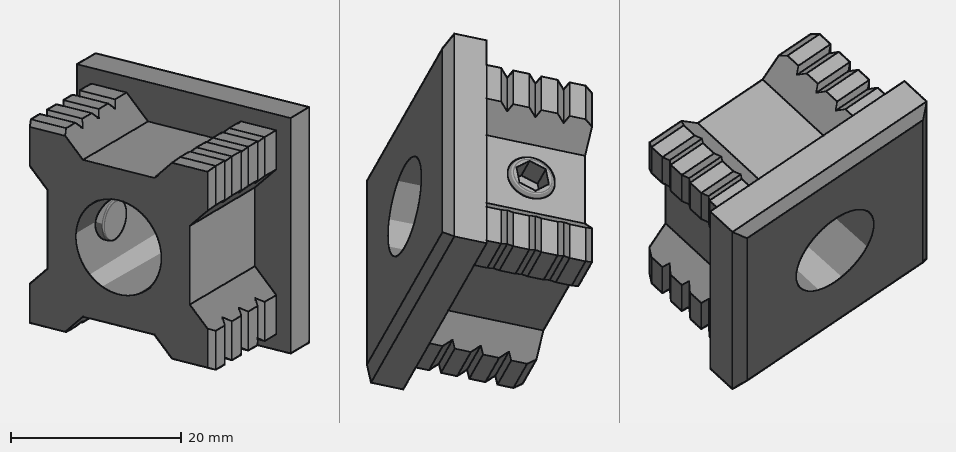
import cadquery as cq


flange_size = 30.0
flange_thickness = 5.0
flange_bevel_run = 1.0
flange_bevel_inset = 1.4

overall_depth = 19.0
core_length = overall_depth - flange_thickness
arm_reach = 13.0
arm_edge = 8.0
wall_reach = 10.0
wall_half_width = arm_edge - (arm_reach - wall_reach)
bore_radius = 6.0
tip_chamfer_run = 1.0
tip_chamfer_inset = 0.5

groove_count = 3
groove_start = 2.5
groove_pitch = 3.5
groove_width = 1.5
groove_apex_run = 1.0
groove_depth = 0.7

screw_y = -7.25
head_radius = 2.95
head_height = 0.55
shank_radius = 2.55
shank_tip_reach = 4.9
shank_tip_round = 0.18
socket_across_flats = 3.72
socket_depth = 3.0
socket_turn = -10.0


def square_body(half_profile):
    """Body of square section whose half width follows (half width, y) points in both X and Z."""
    mirrored = [(-half_width, y) for half_width, y in reversed(half_profile)]
    outline = half_profile + mirrored
    along_z = cq.Workplane("XY").polyline(outline).close().extrude(flange_size, both=True)
    along_x = along_z.rotate((0, 0, 0), (0, 1, 0), 90)
    return along_z.intersect(along_x)


def make_flange():
    half = flange_size / 2
    return square_body([
        (half, 0),
        (half, flange_thickness - flange_bevel_run),
        (half - flange_bevel_inset, flange_thickness),
    ])


def make_grooved_envelope():
    profile = [(arm_reach, 0)]
    for index in range(groove_count):
        start = groove_start + index * groove_pitch
        profile += [
            (arm_reach, -start),
            (arm_reach - groove_depth, -(start + groove_apex_run)),
            (arm_reach, -(start + groove_width)),
        ]
    profile += [
        (arm_reach, -(core_length - tip_chamfer_run)),
        (arm_reach - tip_chamfer_inset, -core_length),
    ]
    return square_body(profile)


def make_cross_prism():
    """Four corner arms joined by recessed flats, running the length of the core."""
    quarter = [
        (wall_reach, wall_half_width),
        (arm_reach, arm_edge),
        (arm_reach, arm_reach),
        (arm_edge, arm_reach),
        (wall_half_width, wall_reach),
    ]
    outline = []
    for _ in range(4):
        outline += quarter
        quarter = [(-z, x) for x, z in quarter]
    return cq.Workplane("XZ").polyline(outline).close().extrude(core_length)


def along_screw(radius, x_start, x_end):
    """Cylinder on the screw axis between two X positions."""
    plane = cq.Workplane("YZ", origin=(x_start, screw_y, 0))
    return plane.circle(radius).extrude(x_end - x_start)


def make_housing():
    core = make_grooved_envelope().intersect(make_cross_prism())
    bore = (
        cq.Workplane("XZ", origin=(0, flange_thickness, 0))
        .circle(bore_radius)
        .extrude(overall_depth)
    )
    screw_hole = along_screw(shank_radius, -wall_reach, 0)
    return make_flange().union(core).cut(bore).cut(screw_hole)


def make_screw():
    head_top = -wall_reach - head_height
    head_profile = (
        cq.Workplane("XY")
        .moveTo(-wall_reach, screw_y)
        .lineTo(-wall_reach, screw_y + head_radius)
        .radiusArc((head_top, screw_y + head_radius - head_height), -head_height)
        .lineTo(head_top, screw_y)
        .close()
    )
    head = head_profile.revolve(360, (-wall_reach, screw_y, 0), (head_top, screw_y, 0))
    shank = along_screw(shank_radius, -wall_reach, -shank_tip_reach)
    shank = shank.faces(">X").fillet(shank_tip_round)
    socket = (
        cq.Workplane("YZ", origin=(head_top, screw_y, 0))
        .transformed(rotate=(0, 0, socket_turn))
        .polygon(6, socket_across_flats, circumscribed=True)
        .extrude(socket_depth)
    )
    return head.union(shank).cut(socket)


housing = make_housing()
screw = make_screw()

result = cq.Compound.makeCompound([housing.val(), screw.val()])